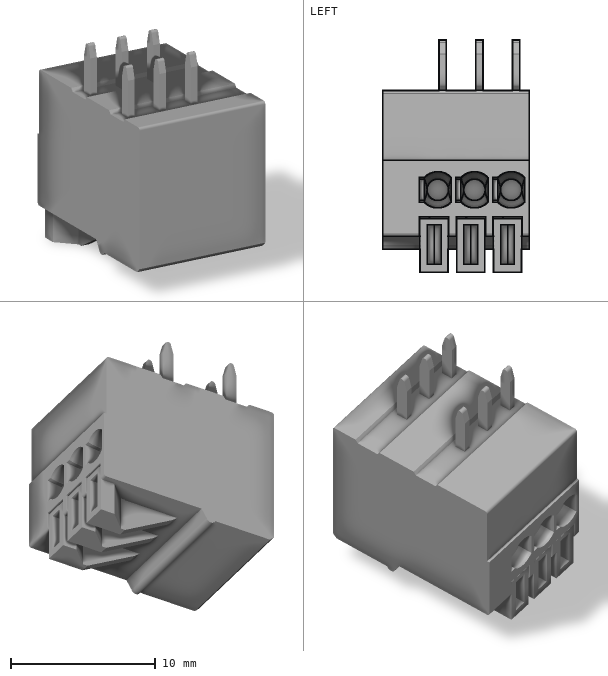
import cadquery as cq

length = 13.7
width = 10.16
top_z = 12.6
heel_z = 2.5
foot_z = 1.84
edge_radius = 0.2
foot_chamfer = 0.32

setback = 0.2
setback_z = 7.78

bump_start_x = 7.85
bump_center_x = 8.61
bump_half_width = 0.34
bump_bottom_z = 1.6

pole_count = 3
pole_pitch = 2.55

pin_row_x = 5.57
pin_row_pitch = 5.09
pin_first_y = 0.92
pin_width = 0.84
pin_thickness = 0.53
pin_tip_width = 0.42
pin_top_z = 16.1
pin_shoulder_z = 15.13
pin_tip_z = 15.92
pin_embed = 0.24

groove_depth = 0.24
groove_floor = 1.7
groove_mouth = 2.11

funnel_y = 1.25
funnel_z = 5.72
funnel_radii = (1.25, 1.25, 0.74)
funnel_half_widths = (0.95, 0.95, 0.74)
funnel_depths = (0.0, 1.11, 2.13)

notch_outer_offset = 1.29
notch_half_height = 0.87
notch_end_half_height = 0.72
notch_depth = funnel_depths[1]

lever_y = 1.51
lever_width = 1.95
lever_front_x = 0.06
lever_head_end_x = 1.15
lever_neck_end_x = 2.45
lever_flat_end_x = 2.79
lever_ramp_end_x = 6.62
lever_ramp_end_z = 2.19
lever_tail_x = 6.99
lever_top_z = 3.72
blade_width = 0.65
pocket_clearance = 0.05
pocket_top_z = 3.85

slot_width = 0.97
slot_bottom_z = 0.55
slot_top_z = 3.3
slot_bend_x = 0.93


def extrude_y(outline, y_start, y_end):
    """Extrude an outline drawn in X and Z from y_start to y_end."""
    return outline.extrude(y_start - y_end).translate((0, y_start, 0))


def box(x_start, x_end, y_start, y_end, z_start, z_end):
    size = (x_end - x_start, y_end - y_start, z_end - z_start)
    return cq.Workplane("XY").box(*size, centered=False).translate((x_start, y_start, z_start))


def make_housing():
    outline = (
        cq.Workplane("XZ")
        .moveTo(0, heel_z)
        .lineTo(bump_start_x, heel_z)
        .lineTo(bump_center_x - bump_half_width, foot_z)
        .threePointArc((bump_center_x, bump_bottom_z), (bump_center_x + bump_half_width, foot_z))
        .lineTo(length - foot_chamfer, foot_z)
        .lineTo(length, foot_z + foot_chamfer)
        .lineTo(length, top_z)
        .lineTo(setback, top_z)
        .lineTo(setback, setback_z)
        .lineTo(0, setback_z)
        .close()
    )
    housing = extrude_y(outline, 0, width)
    rounded = housing.edges("|Y").edges(">Z").add(housing.faces("<X").edges("<Z"))
    return rounded.fillet(edge_radius)


def make_groove(x):
    floor_z = top_z - groove_depth
    outline = cq.Workplane("XZ").polyline([
        (x - groove_mouth / 2, top_z),
        (x - groove_floor / 2, floor_z),
        (x + groove_floor / 2, floor_z),
        (x + groove_mouth / 2, top_z),
    ]).close()
    return extrude_y(outline, 0, width)


def make_pin(x, y):
    root_z = top_z - groove_depth - pin_embed
    half_width = pin_width / 2
    half_tip = pin_tip_width / 2
    outline = (
        cq.Workplane("XZ")
        .moveTo(x - half_width, root_z)
        .lineTo(x - half_width, pin_shoulder_z)
        .lineTo(x - half_tip, pin_tip_z)
        .threePointArc((x, pin_top_z), (x + half_tip, pin_tip_z))
        .lineTo(x + half_width, pin_shoulder_z)
        .lineTo(x + half_width, root_z)
        .close()
    )
    return extrude_y(outline, y - pin_thickness / 2, y + pin_thickness / 2)


def make_funnel(y):
    end_depth = funnel_depths[-1]
    cone_profile = [(0, 0), *zip(funnel_depths, funnel_radii), (end_depth, 0)]
    cone = cq.Workplane("XY").polyline(cone_profile).close().revolve(360, (0, 0), (1, 0))
    side = list(zip(funnel_depths, funnel_half_widths))
    other_side = [(depth, -half_width) for depth, half_width in reversed(side)]
    flats = cq.Workplane("XY").polyline(side + other_side).close().extrude(funnel_radii[0], both=True)
    return cone.intersect(flats).translate((0, y, funnel_z))


def make_notch(y):
    outline = cq.Workplane("XZ").polyline([
        (0, funnel_z - notch_half_height),
        (notch_depth, funnel_z - notch_end_half_height),
        (notch_depth, funnel_z + notch_end_half_height),
        (0, funnel_z + notch_half_height),
    ]).close()
    return extrude_y(outline, y, y + notch_outer_offset)


def make_lever_plan(y, margin=0.0):
    """Seen from above, a wide head narrows on one side to a thin blade; margin widens it sideways."""
    near_y = y - lever_width / 2 - margin
    far_y = y + lever_width / 2 + margin
    blade_near_y = y + lever_width / 2 - blade_width - margin
    return cq.Workplane("XY").polyline([
        (0, near_y),
        (lever_head_end_x, near_y),
        (lever_neck_end_x, blade_near_y),
        (lever_tail_x, blade_near_y),
        (lever_tail_x, far_y),
        (0, far_y),
    ]).close()


def make_pocket(y):
    plan = make_lever_plan(y, pocket_clearance).extrude(pocket_top_z)
    return plan.intersect(box(0, lever_flat_end_x, 0, width, 0, pocket_top_z))


def make_lever(y):
    side_profile = cq.Workplane("XZ").polyline([
        (lever_front_x, 0),
        (lever_flat_end_x, 0),
        (lever_ramp_end_x, lever_ramp_end_z),
        (lever_tail_x, heel_z),
        (lever_tail_x, pocket_top_z),
        (lever_flat_end_x, pocket_top_z),
        (lever_neck_end_x, lever_top_z),
        (lever_front_x, lever_top_z),
    ]).close()
    plan = make_lever_plan(y).extrude(pocket_top_z)
    return extrude_y(side_profile, 0, width).intersect(plan)


def make_slot(y):
    half_width = slot_width / 2
    end_x = slot_bend_x + half_width
    outline = cq.Workplane("XY").polyline([
        (0, y - half_width),
        (slot_bend_x, y - half_width),
        (end_x, y),
        (end_x, y + half_width),
        (0, y + half_width),
    ]).close()
    return outline.extrude(slot_top_z - slot_bottom_z).translate((0, 0, slot_bottom_z))


pin_rows = [pin_row_x, pin_row_x + pin_row_pitch]
result = make_housing()

for row_x in pin_rows:
    result = result.cut(make_groove(row_x))

for pole in range(pole_count):
    shift = pole * pole_pitch
    result = result.cut(make_funnel(funnel_y + shift))
    result = result.cut(make_notch(funnel_y + shift))
    result = result.cut(make_pocket(lever_y + shift))
    result = result.union(make_lever(lever_y + shift))
    result = result.cut(make_slot(lever_y + shift))
    for row_x in pin_rows:
        result = result.union(make_pin(row_x, pin_first_y + shift))